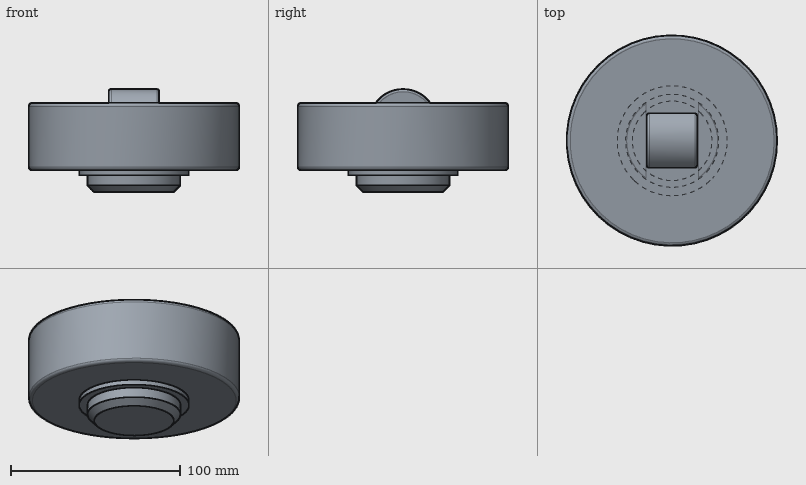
import cadquery as cq

wheel_diameter = 124.6
wheel_width = 39.9
wheel_edge_radius = 2.0

flange_diameter = 65.0
flange_height = 3.0
spigot_diameter = 55.0
spigot_height = 10.0
spigot_chamfer = 4.0

roller_diameter = 39.9
roller_length = 29.9
roller_edge_radius = 1.5
roller_protrusion = 8.2

insert_diameter = 53.8
insert_gap = 31.1
insert_depth = 2.5


def disc(diameter, height, bottom):
    """Upright cylinder whose lower face is at the given height."""
    return cq.Workplane("XY").workplane(offset=bottom).circle(diameter / 2).extrude(height)


wheel = disc(wheel_diameter, wheel_width, 0).edges().fillet(wheel_edge_radius)
flange = disc(flange_diameter, flange_height, -flange_height)
spigot = disc(spigot_diameter, spigot_height, -flange_height - spigot_height)
spigot = spigot.faces("<Z").edges().chamfer(spigot_chamfer)

roller_axis_height = wheel_width + roller_protrusion - roller_diameter / 2
roller = (
    cq.Workplane("YZ")
    .center(0, roller_axis_height)
    .circle(roller_diameter / 2)
    .extrude(roller_length / 2, both=True)
    .edges()
    .fillet(roller_edge_radius)
)

insert_bottom = wheel_width - insert_depth
gap_strip = cq.Workplane("XY").box(insert_gap, wheel_diameter, 2 * wheel_width)
inserts = disc(insert_diameter, insert_depth, insert_bottom).cut(gap_strip)

body = wheel.union(flange).union(spigot).union(roller).cut(inserts)

result = body.union(inserts, clean=False)